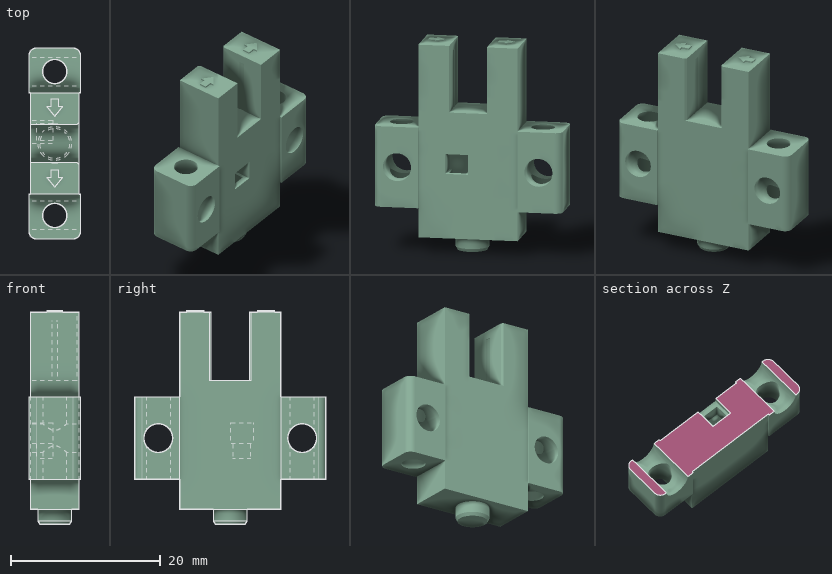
import cadquery as cq

BODY_X = 6.5
BODY_Y = 13.5
BODY_Z = 26.3

GAP_WIDTH = 5.1
GAP_DEPTH = 9.1
GAP_FLOOR_Z = BODY_Z - GAP_DEPTH
PRONG_CHAMFER = 0.25

SLIT_WIDTH = 0.8
SLIT_RECESS = 0.05
SLIT_TOP_MARGIN = 1.2

EAR_X = 6.9
EAR_SPAN_Y = 25.5
EAR_BOTTOM_Z = 4.0
EAR_Z = 11.0
EAR_CORNER_RADIUS = 1.0
HOLE_OFFSET_Y = 9.6
CROSS_HOLE_DIAMETER = 3.8
VERTICAL_HOLE_DIAMETER = 3.2

WINDOW_Y = 3.1
WINDOW_Z = 2.7
WINDOW_CENTER_Y = 1.55
WINDOW_BOTTOM_Z = 8.8
WINDOW_DEPTH = 3.0
WELL_SILL = 0.8
WELL_SIDE_LEDGE = 0.4
WELL_DEPTH = 2.0

ARROW_HEIGHT = 0.2
ARROW_STEM_WIDTH = 1.0
ARROW_HEAD_WIDTH = 2.1
ARROW_STEM_LENGTH = 1.0
ARROW_HEAD_LENGTH = 1.3
ARROW_LENGTH = ARROW_STEM_LENGTH + ARROW_HEAD_LENGTH
ARROW_PITCH = 9.45
ARROW_SHIFT_Y = 0.05

BOSS_DIAMETER = 4.5
BOSS_LENGTH = 2.0
BOSS_CHAMFER_RADIAL = 0.25
BOSS_CHAMFER_AXIAL = 0.45

SIDES = (-1, 1)


def block(size, base_center):
    """Box whose bottom face is centred on base_center."""
    return cq.Workplane("XY").box(*size, centered=(True, True, False)).translate(base_center)


def make_body():
    body = block((BODY_X, BODY_Y, BODY_Z), (0, 0, 0))
    gap = block((BODY_X, GAP_WIDTH, GAP_DEPTH), (0, 0, GAP_FLOOR_Z))
    body = body.cut(gap)
    for side in SIDES:
        body = body.cut(make_prong_chamfer(side))
        body = body.cut(make_slit(side))
    return body


def make_prong_chamfer(side):
    """Wedge removed from the inner +X vertical edge of one prong."""
    edge_x = BODY_X / 2
    edge_y = side * GAP_WIDTH / 2
    return (
        cq.Workplane("XY", origin=(edge_x, edge_y, GAP_FLOOR_Z))
        .polyline([(0, 0), (-PRONG_CHAMFER, 0), (0, side * PRONG_CHAMFER)])
        .close()
        .extrude(GAP_DEPTH)
    )


def make_slit(side):
    height = GAP_DEPTH - SLIT_TOP_MARGIN
    center_y = side * (GAP_WIDTH + SLIT_RECESS) / 2
    return block((SLIT_WIDTH, SLIT_RECESS, height), (0, center_y, GAP_FLOOR_Z))


def make_ears():
    bar = block((EAR_X, EAR_SPAN_Y, EAR_Z), (0, 0, EAR_BOTTOM_Z))
    bar = bar.edges("|Z").fillet(EAR_CORNER_RADIUS)
    bar = bar.cut(block((EAR_X, BODY_Y, EAR_Z), (0, 0, EAR_BOTTOM_Z)))
    hole_z = EAR_BOTTOM_Z + EAR_Z / 2
    for side in SIDES:
        hole_y = side * HOLE_OFFSET_Y
        cross_hole = (
            cq.Workplane("YZ", origin=(0, hole_y, hole_z))
            .circle(CROSS_HOLE_DIAMETER / 2)
            .extrude(EAR_X / 2, both=True)
        )
        vertical_hole = (
            cq.Workplane("XY", origin=(0, hole_y, EAR_BOTTOM_Z))
            .circle(VERTICAL_HOLE_DIAMETER / 2)
            .extrude(EAR_Z)
        )
        bar = bar.cut(cross_hole).cut(vertical_hole)
    return bar


def make_window():
    face_x = -BODY_X / 2
    opening = block(
        (WINDOW_DEPTH, WINDOW_Y, WINDOW_Z),
        (face_x + WINDOW_DEPTH / 2, WINDOW_CENTER_Y, WINDOW_BOTTOM_Z),
    )
    well_x = WINDOW_DEPTH - WELL_SILL
    well_y = WINDOW_Y - 2 * WELL_SIDE_LEDGE
    well = block(
        (well_x, well_y, WELL_DEPTH),
        (face_x + WELL_SILL + well_x / 2, WINDOW_CENTER_Y, WINDOW_BOTTOM_Z - WELL_DEPTH),
    )
    return opening.union(well)


def make_arrow(center_y):
    tail_y = ARROW_LENGTH / 2
    shoulder_y = tail_y - ARROW_STEM_LENGTH
    stem_x = ARROW_STEM_WIDTH / 2
    head_x = ARROW_HEAD_WIDTH / 2
    outline = [
        (-stem_x, tail_y),
        (stem_x, tail_y),
        (stem_x, shoulder_y),
        (head_x, shoulder_y),
        (0, -tail_y),
        (-head_x, shoulder_y),
        (-stem_x, shoulder_y),
    ]
    return (
        cq.Workplane("XY", origin=(0, center_y, BODY_Z))
        .polyline(outline)
        .close()
        .extrude(ARROW_HEIGHT)
    )


def make_boss():
    radius = BOSS_DIAMETER / 2
    boss = cq.Workplane("XY").circle(radius).extrude(-BOSS_LENGTH)
    return boss.faces("<Z").chamfer(BOSS_CHAMFER_AXIAL, BOSS_CHAMFER_RADIAL)


result = make_body().union(make_ears()).union(make_boss())
result = result.cut(make_window())
for side in SIDES:
    result = result.union(make_arrow(ARROW_SHIFT_Y + side * ARROW_PITCH / 2))